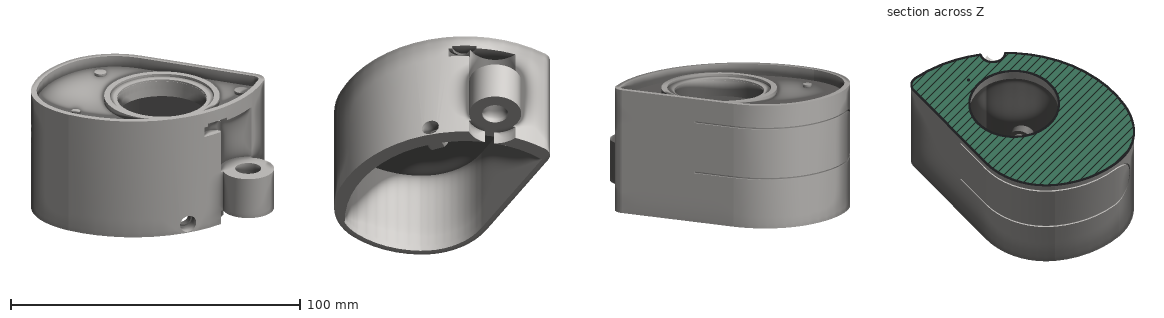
import cadquery as cq
import math


body_height = 44.0
tray_depth = 4.0
plate_thickness = 5.3
tray_floor = body_height - tray_depth
cavity_ceiling = tray_floor - plate_thickness

overshoot = 10.0

rim_thickness = 2.0
cavity_wall = 2.0
long_side_wall = 5.0

flat_end = (-14.76, 25.65)
flat_heading = 175.25
full_turn = 360.0
corner_radius = 4.4
long_side_radius = 46.69
outline_arcs = [
    (25.79, 236.26),
    (35.57, 277.03),
    (20.49, 325.65),
    (28.71, 347.15),
    (long_side_radius, 451.03),
    (corner_radius, flat_heading + full_turn),
]

bore_diameter = 30.85
lip_diameter = 31.0
lip_depth = 0.6
seat_outer_diameter = 40.0
seat_inner_diameter = 36.0
seat_height = 2.0
seat_recess_depth = 1.0

pins = [(-26.5, 15.1, 4.2), (24.6, 14.1, 5.0), (-25.7, -18.4, 3.1)]
pin_height = 1.0

hinge_x, hinge_y = 32.0, -3.4
lug_diameter = 18.0
lug_hole_diameter = 9.0
lug_bottom, lug_top = 5.0, 19.8
clearance_radius = 9.8
clearance_top = 38.6
clearance_wall = 2.0

lower_pocket_center = (22.0, -11.5)
lower_pocket_bottom = 35.0
lower_pocket_radius = 3.8
upper_pocket_center = (23.0, -10.1)
upper_pocket_radius = 4.2
upper_pocket_top = 39.65

cross_hole_center = (15.0, -19.0, 3.3)
cross_hole_inward = (-0.55, 0.83, 0)
counterbore_diameter = 6.0
counterbore_depth = 5.3
cross_hole_diameter = 4.9
cross_boss_diameter = 8.0
cross_boss_depth = 8.0

panel_middle_z = 26.75
groove_outer_radius = 9.3
groove_width = 0.6
groove_depth = 0.7
panel_end_center_y = -7.7
groove_end_x = 0.0


def cylinder(center, radius, bottom, top):
    """Vertical cylinder between two heights."""
    return cq.Workplane("XY", origin=(center[0], center[1], bottom)).circle(radius).extrude(top - bottom)


def arc_point(start, radius, heading, turn):
    """Point reached from start along a left-turning arc, angles in degrees."""
    first = math.radians(heading)
    last = math.radians(heading + turn)
    x = start[0] + radius * (math.sin(last) - math.sin(first))
    y = start[1] - radius * (math.cos(last) - math.cos(first))
    return (x, y)


def trace_outline():
    """Middle, end and centre points of each arc around the outline."""
    traced = []
    point = flat_end
    heading = flat_heading
    for radius, end_heading in outline_arcs:
        turn = end_heading - heading
        angle = math.radians(heading)
        center = (point[0] - radius * math.sin(angle), point[1] + radius * math.cos(angle))
        middle = arc_point(point, radius, heading, turn / 2)
        point = arc_point(point, radius, heading, turn)
        traced.append((middle, point, center))
        heading = end_heading
    return traced


def outline_block():
    """Solid block with the full teardrop outline: a flat and a chain of tangent arcs."""
    sketch = cq.Workplane("XY").moveTo(*flat_end)
    for middle, end, _ in trace_outline():
        sketch = sketch.threePointArc(middle, end)
    return sketch.close().extrude(body_height)


def inset_block(block, inset, bottom, top):
    """Block whose outline is moved inward by a constant distance."""
    wire = block.faces("<Z").wires().val()
    inner_wire = wire.offset2D(-inset)[0]
    solid = cq.Solid.extrudeLinear(inner_wire, [], cq.Vector(0, 0, top - bottom))
    return cq.Workplane(obj=solid).translate((0, 0, bottom))


def hollow_housing(block):
    """Tray above, cavity below, with thicker walls on the long side and behind the hinge."""
    tray = inset_block(block, rim_thickness, tray_floor, body_height)
    cavity = inset_block(block, cavity_wall, 0, cavity_ceiling)
    _, _, long_side_center = trace_outline()[-2]
    long_side_limit = cylinder(long_side_center, long_side_radius - long_side_wall, 0, cavity_ceiling)
    cavity = cavity.intersect(long_side_limit)
    backing_radius = clearance_radius + clearance_wall
    hinge_backing = cylinder((hinge_x, hinge_y), backing_radius, lug_bottom, cavity_ceiling)
    return block.cut(tray).cut(cavity.cut(hinge_backing))


def add_bore_seat(body):
    """Raised ring with a recessed inner ledge around the through bore."""
    seat_top = tray_floor + seat_height
    body = body.union(cylinder((0, 0), seat_outer_diameter / 2, tray_floor, seat_top))
    ledge = seat_top - seat_recess_depth
    body = body.cut(cylinder((0, 0), seat_inner_diameter / 2, ledge, seat_top))
    body = body.cut(cylinder((0, 0), lip_diameter / 2, ledge - lip_depth, ledge))
    return body.cut(cylinder((0, 0), bore_diameter / 2, 0, seat_top))


def add_pins(body):
    for x, y, diameter in pins:
        body = body.union(cylinder((x, y), diameter / 2, tray_floor, tray_floor + pin_height))
    return body


def cut_hinge_clearance(body):
    """Round clearances about the hinge axis, below and above the lug, and the side pockets."""
    hinge = (hinge_x, hinge_y)
    body = body.cut(cylinder(hinge, clearance_radius, 0, lug_bottom))
    body = body.cut(cylinder(hinge, clearance_radius, lug_top, clearance_top))
    body = body.cut(cylinder(lower_pocket_center, lower_pocket_radius, lower_pocket_bottom, clearance_top))
    return body.cut(cylinder(upper_pocket_center, upper_pocket_radius, clearance_top, upper_pocket_top))


def add_lug(body):
    hinge = (hinge_x, hinge_y)
    body = body.union(cylinder(hinge, lug_diameter / 2, lug_bottom, lug_top))
    return body.cut(cylinder(hinge, lug_hole_diameter / 2, lug_bottom, lug_top))


def cross_cylinder(diameter, depth):
    """Cylinder on the cross hole axis, from outside the wall to a depth inside it."""
    inward = cq.Vector(*cross_hole_inward).normalized()
    start = cq.Vector(*cross_hole_center) - inward * overshoot
    return cq.Workplane(obj=cq.Solid.makeCylinder(diameter / 2, overshoot + depth, start, inward))


def add_cross_hole(body, block):
    """Counterbored hole through the wall and a short boss inside the cavity."""
    body = body.union(cross_cylinder(cross_boss_diameter, cross_boss_depth).intersect(block))
    body = body.cut(cross_cylinder(counterbore_diameter, counterbore_depth))
    return body.cut(cross_cylinder(cross_hole_diameter, cross_boss_depth))


def panel_prism(radius, block):
    """Round-ended bar along X, open toward +Y, spanning the blunt end of the block."""
    box = block.val().BoundingBox()
    start_x = box.xmin - overshoot
    length = groove_end_x - start_x
    bar_width = box.ymax + overshoot - panel_end_center_y
    plane = cq.Workplane("YZ", origin=(start_x, panel_end_center_y, panel_middle_z))
    round_end = plane.circle(radius).extrude(length)
    bar = plane.center(bar_width / 2, 0).rect(bar_width, 2 * radius).extrude(length)
    return bar.union(round_end)


def cut_panel_groove(body, block):
    skin = block.cut(inset_block(block, groove_depth, 0, body_height))
    frame = panel_prism(groove_outer_radius, block)
    frame = frame.cut(panel_prism(groove_outer_radius - groove_width, block))
    return body.cut(frame.intersect(skin))


outer_block = outline_block()
housing = hollow_housing(outer_block)
housing = add_bore_seat(housing)
housing = add_pins(housing)
housing = cut_hinge_clearance(housing)
housing = add_lug(housing)
housing = add_cross_hole(housing, outer_block)
result = cut_panel_groove(housing, outer_block)